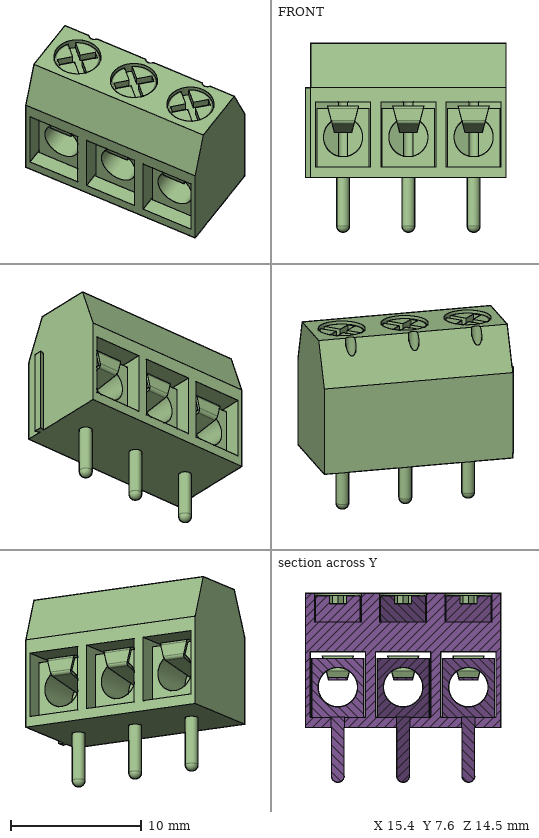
import cadquery as cq
import math


pole_count = 3
pole_pitch = 5.0
pole_positions = [(i - (pole_count - 1) / 2) * pole_pitch for i in range(pole_count)]

rib_projection = 0.4
overall_width = 15.4
housing_width = overall_width - rib_projection
housing_depth = 7.6
housing_height = 10.3
shoulder_height = 6.9
front_slope_run = 1.25
back_slope_run = 1.6

rib_outer_width = 0.7
rib_root_width = 0.45
rib_y = 6.07

clamp_width = 4.0
clamp_height = 4.5
clamp_front_y = 1.22
clamp_back_y = 5.37
bore_diameter = 3.0
bore_height = 2.3

pocket_width = 4.22
pocket_height = 5.0
pocket_floor_z = 0.8
pocket_back_angle = 30

guard_thickness = 0.2
guard_top_half_width = 1.2
guard_tip_half_width = 0.66
guard_top_length = 1.23
guard_drop = 1.12
guard_bend_radius = 0.3
guard_tip_drop = 2.06
guard_bend_angle = 80

screw_diameter = 3.5
screw_hole_diameter = 3.6
screw_y = 3.6
screw_height = 2.0
screw_recess = 0.2
screw_bottom_z = housing_height - screw_recess - screw_height
screw_edge_radius = 0.1
slot_width = 0.6
slot_depth = 0.6
short_slot_length = 3.0

test_hole_diameter = 0.8
test_hole_y = 6.2

pin_diameter = 1.0
pin_y = 3.79
pin_length_below = 4.2


def housing_block():
    """Block with sloped front and back shoulders."""
    outline = [
        (0, 0),
        (housing_depth, 0),
        (housing_depth, shoulder_height),
        (housing_depth - back_slope_run, housing_height),
        (front_slope_run, housing_height),
        (0, shoulder_height),
    ]
    return cq.Workplane("YZ").polyline(outline).close().extrude(housing_width / 2, both=True)


def dovetail_rib():
    """Rib that widens away from the -X side, from the underside to the shoulder."""
    side_x = -housing_width / 2
    outline = [
        (side_x, rib_y - rib_root_width / 2),
        (side_x, rib_y + rib_root_width / 2),
        (side_x - rib_projection, rib_y + rib_outer_width / 2),
        (side_x - rib_projection, rib_y - rib_outer_width / 2),
    ]
    return cq.Workplane("XY").polyline(outline).close().extrude(shoulder_height)


def wire_pocket(x):
    """Pocket open to the front, with a V-shaped back wall."""
    half_width = pocket_width / 2
    apex_y = clamp_back_y + half_width * math.tan(math.radians(pocket_back_angle))
    outline = [
        (x - half_width, 0),
        (x + half_width, 0),
        (x + half_width, clamp_back_y),
        (x, apex_y),
        (x - half_width, clamp_back_y),
    ]
    return cq.Workplane("XY", origin=(0, 0, pocket_floor_z)).polyline(outline).close().extrude(pocket_height)


def round_bar(x, y, bottom_z, diameter, height):
    """Upright cylinder standing on bottom_z."""
    return cq.Workplane("XY", origin=(x, y, bottom_z)).circle(diameter / 2).extrude(height)


def make_housing():
    """Block and rib with a wire pocket, screw hole, test hole and pin hole at each pole.

    Each test hole runs down through the V of the pocket's back wall to the pocket floor.
    """
    screw_hole_depth = housing_height - screw_bottom_z
    test_hole_depth = housing_height - pocket_floor_z
    housing = housing_block().union(dovetail_rib())
    for x in pole_positions:
        housing = housing.cut(wire_pocket(x))
        housing = housing.cut(round_bar(x, screw_y, screw_bottom_z, screw_hole_diameter, screw_hole_depth))
        housing = housing.cut(round_bar(x, test_hole_y, pocket_floor_z, test_hole_diameter, test_hole_depth))
        housing = housing.cut(round_bar(x, pin_y, 0, pin_diameter, pocket_floor_z))
    return housing.solids()


def wire_guard(x):
    """Tapered strip lying on the clamp, bent down over its front and then back into the bore."""
    top_z = pocket_floor_z + clamp_height + guard_thickness
    front_y = clamp_front_y - guard_thickness
    bend_z = top_z - guard_drop
    tip_z = top_z - guard_tip_drop
    angle = math.radians(guard_bend_angle)
    inner_radius = guard_bend_radius - guard_thickness
    bend_center_y = front_y + guard_bend_radius

    def bend_point(radius, turn):
        return (bend_center_y - radius * math.cos(turn), bend_z - radius * math.sin(turn))

    outer_bend_end = bend_point(guard_bend_radius, angle)
    inner_bend_end = bend_point(inner_radius, angle)
    tail_length = (outer_bend_end[1] - tip_z) / math.cos(angle)
    tail = (tail_length * math.sin(angle), -tail_length * math.cos(angle))
    corner_inset = guard_thickness * (1 - math.sqrt(0.5))

    strip = (
        cq.Workplane("YZ")
        .moveTo(clamp_front_y + guard_top_length, top_z)
        .lineTo(clamp_front_y, top_z)
        .threePointArc((front_y + corner_inset, top_z - corner_inset), (front_y, top_z - guard_thickness))
        .lineTo(front_y, bend_z)
        .threePointArc(bend_point(guard_bend_radius, angle / 2), outer_bend_end)
        .line(*tail)
        .lineTo(inner_bend_end[0] + tail[0], inner_bend_end[1] + tail[1])
        .lineTo(*inner_bend_end)
        .threePointArc(bend_point(inner_radius, angle / 2), (clamp_front_y, bend_z))
        .lineTo(clamp_front_y, top_z - guard_thickness)
        .lineTo(clamp_front_y + guard_top_length, top_z - guard_thickness)
        .close()
        .extrude(guard_top_half_width, both=True)
        .translate((x, 0, 0))
    )
    taper = (
        cq.Workplane("XZ")
        .polyline([
            (x - guard_top_half_width, top_z),
            (x + guard_top_half_width, top_z),
            (x + guard_tip_half_width, tip_z),
            (x - guard_tip_half_width, tip_z),
        ])
        .close()
        .extrude(-housing_depth)
    )
    return strip.intersect(taper)


def make_clamp(x):
    """Block with a wire bore and its guard strip."""
    clamp_depth = clamp_back_y - clamp_front_y
    block = cq.Workplane("XY", origin=(x, clamp_front_y + clamp_depth / 2, pocket_floor_z)).box(
        clamp_width, clamp_depth, clamp_height, centered=(True, True, False)
    )
    bore = (
        cq.Workplane("XZ", origin=(x, clamp_front_y, pocket_floor_z + bore_height))
        .circle(bore_diameter / 2)
        .extrude(-clamp_depth)
    )
    return block.cut(bore).union(wire_guard(x)).solids()


def make_screw(x):
    """Screw head with one slot right across and a shorter slot square to it."""
    screw = round_bar(x, screw_y, screw_bottom_z, screw_diameter, screw_height)
    screw = screw.faces(">Z").edges().fillet(screw_edge_radius)
    slot_middle = (x, screw_y, housing_height - screw_recess)
    for length, angle in [(screw_hole_diameter, -45), (short_slot_length, 45)]:
        slot = cq.Workplane("XY").box(length, slot_width, 2 * slot_depth)
        screw = screw.cut(slot.rotate((0, 0, 0), (0, 0, 1), angle).translate(slot_middle))
    return screw.solids()


def make_pin(x):
    """Round pin up to the pocket floor, with a domed lower end."""
    pin_radius = pin_diameter / 2
    dome_z = pin_radius - pin_length_below
    shaft = round_bar(x, pin_y, dome_z, pin_diameter, pocket_floor_z - dome_z)
    dome = cq.Workplane("XY", origin=(x, pin_y, dome_z)).sphere(pin_radius)
    return shaft.union(dome).solids()


housing = make_housing()
clamps = [make_clamp(x) for x in pole_positions]
screws = [make_screw(x) for x in pole_positions]
pins = [make_pin(x) for x in pole_positions]

result = cq.Compound.makeCompound([
    housing.val(),
    *[clamp.val() for clamp in clamps],
    *[screw.val() for screw in screws],
    *[pin.val() for pin in pins],
])